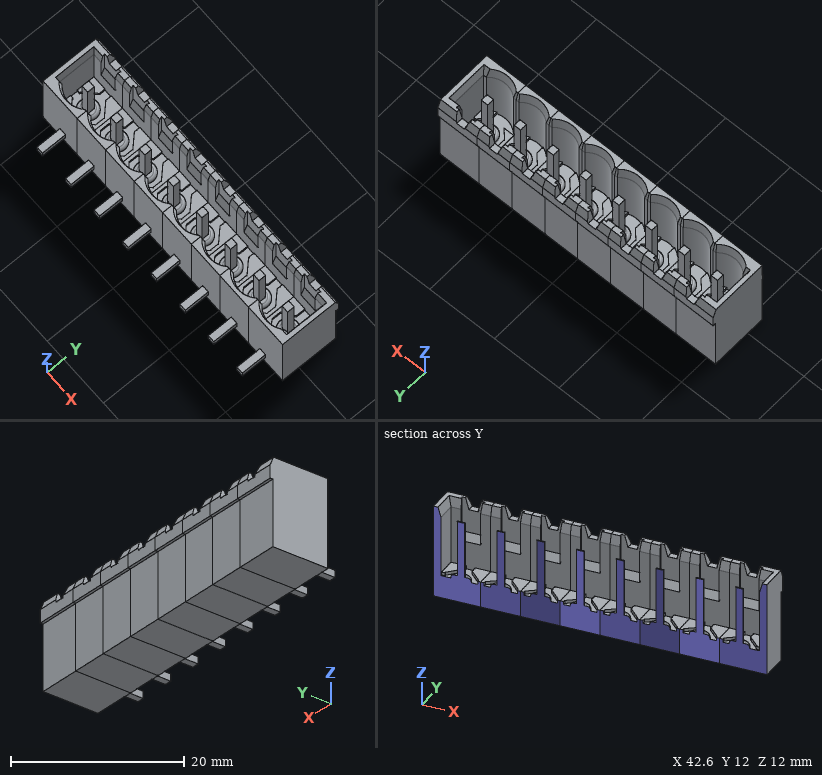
import cadquery as cq

pole_count = 8
pitch = 5.08
end_overhang = 1.0
row_length = pole_count * pitch + 2 * end_overhang

height = 12.0
back_y = 8.1
latch_projection = 0.4
latch_height = 3.0
latch_slope_height = 1.2
latch_top_inset = 0.1

floor_z = 3.4
mouth_depth = 1.25
mouth_z = height - mouth_depth
chamber_front_y = 1.7
chamber_back_y = 6.88
front_flare = 0.3
relief_flare = 0.55
back_flare = 0.32
end_flare = 0.38
scallop_radius = 3.0
scallop_mouth_radius = 3.36

slot_back_y = 7.57
slot_front_half_width = 1.25
slot_back_half_width = 1.45
slot_front_z = 6.6
slot_back_z = 7.5
notch_floor_z = 10.5
notch_floor_half_width = 0.58
notch_top_half_width = 1.0

recess_depth = 0.4
recess_half_width = 2.1
recess_half_flat = 0.65
low_shoulder_y = 1.72
recess_back_half_width = 0.56
recess_front_half_width = 1.02
recess_arm_width = 1.0
side_recess_offset = 1.75

pin_width = 1.0
pin_y = 3.85
pin_tip_z = 10.68
leg_z = 1.93
leg_projection = 3.5
collar_radius = 1.4
collar_rounding = 0.45
collar_height = 0.5


def box(x_range, y_range, z_range):
    """Block given by its limits along each axis."""
    ranges = (x_range, y_range, z_range)
    sizes = [high - low for low, high in ranges]
    corner = cq.Vector(*[low for low, _ in ranges])
    return cq.Workplane("XY").box(*sizes, centered=False).translate(corner)


def section_rectangle(work, x_range, y_range):
    """Closed rectangle added to a horizontal workplane."""
    (x0, x1), (y0, y1) = x_range, y_range
    return work.polyline([(x0, y0), (x1, y0), (x1, y1), (x0, y1)]).close()


def flared_mouth(low_x, low_y, top_x, top_y):
    """Lead-in that widens from one rectangle to another at the top face."""
    low = section_rectangle(cq.Workplane("XY").workplane(offset=mouth_z), low_x, low_y)
    both = section_rectangle(low.workplane(offset=mouth_depth), top_x, top_y)
    return both.loft(ruled=True)


def pole_x_range(index):
    """X limits of one pole; the end poles include the overhang."""
    start = 0 if index == 0 else end_overhang + index * pitch
    end = row_length if index == pole_count - 1 else end_overhang + (index + 1) * pitch
    return start, end


def pole_center(index):
    return end_overhang + (index + 0.5) * pitch


def housing_block(index):
    """Solid block of one pole with the latch ledge along its back."""
    latch_y = back_y + latch_projection
    latch_bottom_z = height - latch_height
    outline = [
        (0, 0),
        (back_y, 0),
        (back_y, latch_bottom_z),
        (latch_y, latch_bottom_z),
        (latch_y, height - latch_slope_height),
        (back_y - latch_top_inset, height),
        (0, height),
    ]
    start, end = pole_x_range(index)
    profile = cq.Workplane("YZ").workplane(offset=start).polyline(outline).close()
    return profile.extrude(end - start)


def scallop(index, bottom_z):
    """Round bay in the front wall, flared at the mouth."""
    center_x = pole_center(index)
    plane = cq.Workplane("XY", origin=(center_x, pin_y, bottom_z))
    bay = plane.circle(scallop_radius).extrude(height - bottom_z)
    flare = cq.Workplane(
        cq.Solid.makeCone(
            scallop_radius,
            scallop_mouth_radius,
            mouth_depth,
            pnt=cq.Vector(center_x, pin_y, mouth_z),
        )
    )
    limits_x = (center_x - pitch / 2, center_x + pitch / 2)
    front_region = box(limits_x, (0, chamber_front_y), (bottom_z, height))
    return bay.union(flare).intersect(front_region)


def chamber(index, bottom_z):
    """Plug chamber: straight well, flared mouth and the front bay of one pole."""
    low_x = (end_overhang, row_length - end_overhang)
    low_y = (chamber_front_y, chamber_back_y)
    top_x = (low_x[0] - end_flare, low_x[1] + end_flare)
    top_y = (low_y[0] - front_flare, low_y[1] + back_flare)
    well = box(low_x, low_y, (bottom_z, mouth_z))
    cavity = well.union(flared_mouth(low_x, low_y, top_x, top_y))
    if index == pole_count - 1:
        corner_low_x = (pole_center(index), low_x[1])
        corner_top_x = (pole_center(index), top_x[1])
        corner_top_y = (low_y[0] - relief_flare, top_y[1])
        cavity = cavity.union(flared_mouth(corner_low_x, low_y, corner_top_x, corner_top_y))
    return cavity.union(scallop(index, bottom_z))


def back_slot(index):
    """Dovetail slot inside the back wall, closed below by a sloping ledge."""
    center_x = pole_center(index)
    plan = [
        (center_x - slot_front_half_width, chamber_back_y),
        (center_x + slot_front_half_width, chamber_back_y),
        (center_x + slot_back_half_width, slot_back_y),
        (center_x - slot_back_half_width, slot_back_y),
    ]
    side = [
        (chamber_back_y, slot_front_z),
        (slot_back_y, slot_back_z),
        (slot_back_y, height),
        (chamber_back_y, height),
    ]
    column = cq.Workplane("XY").polyline(plan).close().extrude(height)
    start_x = center_x - slot_back_half_width
    above_ledge = cq.Workplane("YZ").workplane(offset=start_x).polyline(side).close()
    return column.intersect(above_ledge.extrude(2 * slot_back_half_width))


def back_notch(index):
    """Tapered notch through the top of the back wall."""
    center_x = pole_center(index)
    outline = [
        (center_x - notch_floor_half_width, notch_floor_z),
        (center_x + notch_floor_half_width, notch_floor_z),
        (center_x + notch_top_half_width, height),
        (center_x - notch_top_half_width, height),
    ]
    depth = back_y + latch_projection - chamber_back_y
    plane = cq.Workplane("XZ", origin=(0, chamber_back_y, 0))
    return plane.polyline(outline).close().extrude(-depth)


def floor_recess(index):
    """Keyhole-shaped recess in the chamber floor, with side branches on the end poles."""
    center_x = pole_center(index)
    bottom_z = floor_z - recess_depth
    z_range = (bottom_z, floor_z)
    shoulder = recess_half_flat + recess_half_width
    right_half = [
        (recess_front_half_width, -pin_y),
        (recess_front_half_width, recess_front_half_width - shoulder),
        (recess_half_width, -recess_half_flat),
        (recess_half_width, recess_half_flat),
        (recess_back_half_width, shoulder - recess_back_half_width),
        (recess_back_half_width, chamber_back_y - pin_y),
    ]
    left_half = [(-x, y) for x, y in reversed(right_half)]
    if index > 0:
        left_half[1] = (-recess_back_half_width, low_shoulder_y)
    plane = cq.Workplane("XY", origin=(center_x, pin_y, bottom_z))
    recess = plane.polyline(right_half + left_half).close().extrude(recess_depth)

    start, end = pole_x_range(index)
    arm_y = (pin_y - recess_arm_width / 2, pin_y + recess_arm_width / 2)
    if index == 0:
        recess = recess.union(box((start, center_x), arm_y, z_range))
    if index == pole_count - 1:
        recess = recess.union(box((center_x, end), arm_y, z_range))
        side_y = (0, pin_y - side_recess_offset)
        recess = recess.union(box((start, center_x), side_y, z_range))
    return recess.intersect(chamber(index, bottom_z))


def contact(index):
    """Bent square pin: upright post, leg out of the front, and collar at the floor."""
    center_x = pole_center(index)
    half = pin_width / 2
    width_x = (center_x - half, center_x + half)
    leg_bottom_z = leg_z - half
    post = box(width_x, (pin_y - half, pin_y + half), (leg_bottom_z, pin_tip_z))
    leg = box(width_x, (-leg_projection, pin_y), (leg_bottom_z, leg_z + half))
    plane = cq.Workplane("XY", origin=(center_x, pin_y, floor_z - recess_depth))
    collar = plane.circle(collar_radius).extrude(collar_height)
    collar = collar.faces(">Z").edges().fillet(collar_rounding)
    return post.union(leg).union(collar)


def pole(index):
    """One complete pole of the header, with its contact moulded in."""
    housing = housing_block(index).cut(chamber(index, floor_z))
    housing = housing.cut(back_slot(index)).cut(back_notch(index)).cut(floor_recess(index))
    return housing.union(contact(index))


poles = [pole(index) for index in range(pole_count)]
result = cq.Compound.makeCompound([body.val() for body in poles])